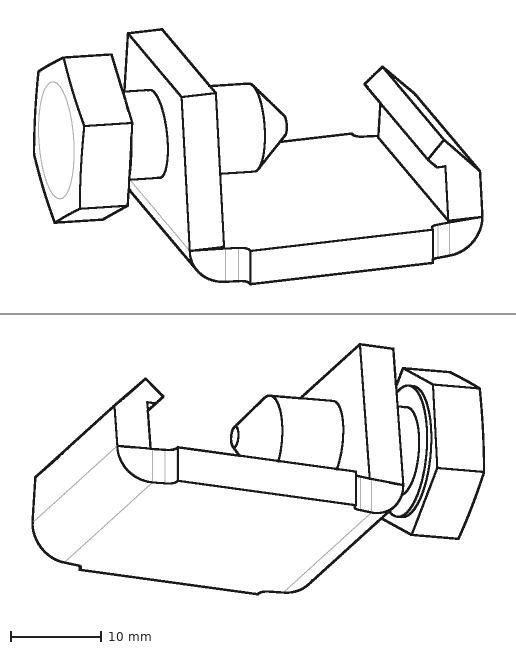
import cadquery as cq
import math

OVERALL_LENGTH = 45.75

CLIP_WIDTH = 30.0
CLIP_DEPTH = 34.0
THICKNESS = 4.0
TAPER_ANGLE = 10.0
TAPER = math.tan(math.radians(TAPER_ANGLE))
TAB_BASE_HALF_WIDTH = 13.0
BEND_START_HALF_WIDTH = 13.5
FRONT_TAB_HEIGHT = 21.2
SHOULDER_Y = 6.4
RELIEF_RADIUS = 1.0

HOOK_SLOPE_START = 9.05
HOOK_LIP_REACH = THICKNESS / 2

BOLT_TILT = 3.0
SEAT_Z = 13.25
SHANK_DIAMETER = 9.8
SHANK_LENGTH = 20.55
TIP_DIAMETER = 2.3
COLLAR_DIAMETER = 14.6
COLLAR_HEIGHT = 0.5
HEAD_ACROSS_FLATS = 17.0
HEAD_HEIGHT = 5.9
CROWN_DIAMETER = 13.0
CROWN_HEIGHT = 0.3
HEAD_ACROSS_CORNERS = HEAD_ACROSS_FLATS / math.cos(math.radians(30))

tilt = math.radians(BOLT_TILT)
crown_front_y = CLIP_DEPTH - OVERALL_LENGTH
seat_y = crown_front_y + HEAD_HEIGHT * math.cos(tilt) + CROWN_DIAMETER / 2 * math.sin(tilt)
bolt_plane = cq.Plane(
    origin=(0, seat_y, SEAT_Z),
    xDir=(1, 0, 0),
    normal=(0, math.cos(tilt), -math.sin(tilt)),
)


def make_base():
    """Flat plate with its four corner reliefs and the two rounded bends."""
    half_width = CLIP_WIDTH / 2
    relief_end_y = SHOULDER_Y - RELIEF_RADIUS
    neck = BEND_START_HALF_WIDTH + TAPER * (relief_end_y - THICKNESS)
    arc_center_x = neck + RELIEF_RADIUS
    arc_offset = RELIEF_RADIUS * math.sqrt(0.5)
    middle_y = CLIP_DEPTH / 2
    front_right = (
        cq.Workplane("XY")
        .moveTo(0, 0)
        .lineTo(TAB_BASE_HALF_WIDTH, 0)
        .lineTo(BEND_START_HALF_WIDTH, THICKNESS)
        .lineTo(neck, relief_end_y)
        .threePointArc(
            (arc_center_x - arc_offset, relief_end_y + arc_offset),
            (arc_center_x, SHOULDER_Y),
        )
        .lineTo(half_width, SHOULDER_Y)
        .lineTo(half_width, middle_y)
        .lineTo(0, middle_y)
        .close()
        .extrude(THICKNESS)
    )
    front = front_right.union(front_right.mirror("YZ"))
    plate = front.union(front.mirror("XZ", (0, middle_y, 0)))
    bend_profile = (
        cq.Workplane("XY")
        .box(CLIP_WIDTH, CLIP_DEPTH, 2 * THICKNESS, centered=(True, False, False))
        .edges("|X and <Z")
        .fillet(THICKNESS)
    )
    return plate.intersect(bend_profile)


def make_tab(profile_points, height):
    """Side profile in YZ, trimmed to the taper of the tab sides."""
    top_half_width = TAB_BASE_HALF_WIDTH - TAPER * (height - THICKNESS)
    profile = (
        cq.Workplane("YZ")
        .polyline(profile_points)
        .close()
        .extrude(CLIP_WIDTH / 2, both=True)
    )
    taper_outline = (
        cq.Workplane("XZ")
        .polyline([
            (-TAB_BASE_HALF_WIDTH, THICKNESS),
            (TAB_BASE_HALF_WIDTH, THICKNESS),
            (top_half_width, height),
            (-top_half_width, height),
        ])
        .close()
        .extrude(-CLIP_DEPTH)
    )
    return profile.intersect(taper_outline)


def make_front_tab():
    return make_tab(
        [
            (0, THICKNESS),
            (THICKNESS, THICKNESS),
            (THICKNESS, FRONT_TAB_HEIGHT),
            (0, FRONT_TAB_HEIGHT),
        ],
        FRONT_TAB_HEIGHT,
    )


def make_hook_tab():
    inner_y = CLIP_DEPTH - THICKNESS
    apex_z = HOOK_SLOPE_START + THICKNESS
    lip_z = apex_z - HOOK_LIP_REACH
    undercut = HOOK_LIP_REACH / 2
    return make_tab(
        [
            (CLIP_DEPTH, THICKNESS),
            (CLIP_DEPTH, HOOK_SLOPE_START),
            (inner_y, apex_z),
            (inner_y - HOOK_LIP_REACH, lip_z),
            (inner_y - undercut, lip_z - undercut),
            (inner_y, lip_z - undercut),
            (inner_y, THICKNESS),
        ],
        apex_z,
    )


def make_clip():
    bolt_hole = cq.Workplane(bolt_plane).circle(SHANK_DIAMETER / 2).extrude(SHANK_LENGTH)
    front_tab = make_front_tab().cut(bolt_hole)
    return make_base().union(make_hook_tab()).union(front_tab).solids()


def make_head():
    """Hexagon with corners up and down and a shallow conical crown."""
    hexagon = (
        cq.Workplane("XY")
        .polygon(6, HEAD_ACROSS_CORNERS)
        .extrude(-HEAD_HEIGHT)
        .rotate((0, 0, 0), (0, 0, 1), 30)
    )
    corner_radius = HEAD_ACROSS_CORNERS / 2
    crown_envelope = (
        cq.Workplane("XZ")
        .polyline([
            (0, 0),
            (corner_radius, 0),
            (corner_radius, CROWN_HEIGHT - HEAD_HEIGHT),
            (CROWN_DIAMETER / 2, -HEAD_HEIGHT),
            (0, -HEAD_HEIGHT),
        ])
        .close()
        .revolve(360, (0, 0, 0), (0, 1, 0))
    )
    return hexagon.intersect(crown_envelope)


def make_bolt():
    collar = cq.Workplane("XY").circle(COLLAR_DIAMETER / 2).extrude(COLLAR_HEIGHT)
    shank = (
        cq.Workplane("XY")
        .circle(SHANK_DIAMETER / 2)
        .extrude(SHANK_LENGTH)
        .faces(">Z")
        .chamfer((SHANK_DIAMETER - TIP_DIAMETER) / 2)
    )
    bolt = make_head().union(collar).union(shank)
    return bolt.solids().val().moved(bolt_plane.location)


clip = make_clip()
bolt = make_bolt()
result = cq.Compound.makeCompound([clip.val(), bolt])